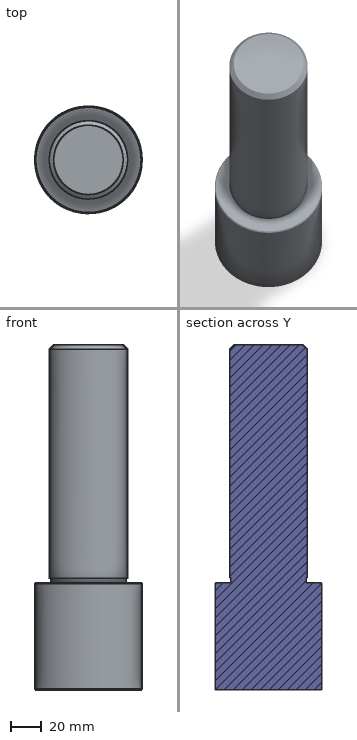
import cadquery as cq

total_height = 225.0
head_diameter = 70.0
head_height = 70.0
shank_diameter = 51.0

head_chamfer = 0.7
tip_chamfer = 3.0
neck_diameter = 49.5
neck_height = 3.0

head = cq.Workplane("XY").circle(head_diameter / 2).extrude(head_height)
head = head.edges("%CIRCLE").chamfer(head_chamfer)

neck = cq.Workplane("XY").workplane(offset=head_height).circle(neck_diameter / 2).extrude(neck_height)

shank_base = head_height + neck_height
shank = (
    cq.Workplane("XY")
    .workplane(offset=shank_base)
    .circle(shank_diameter / 2)
    .extrude(total_height - shank_base)
    .faces(">Z")
    .chamfer(tip_chamfer)
)

result = head.union(neck).union(shank)